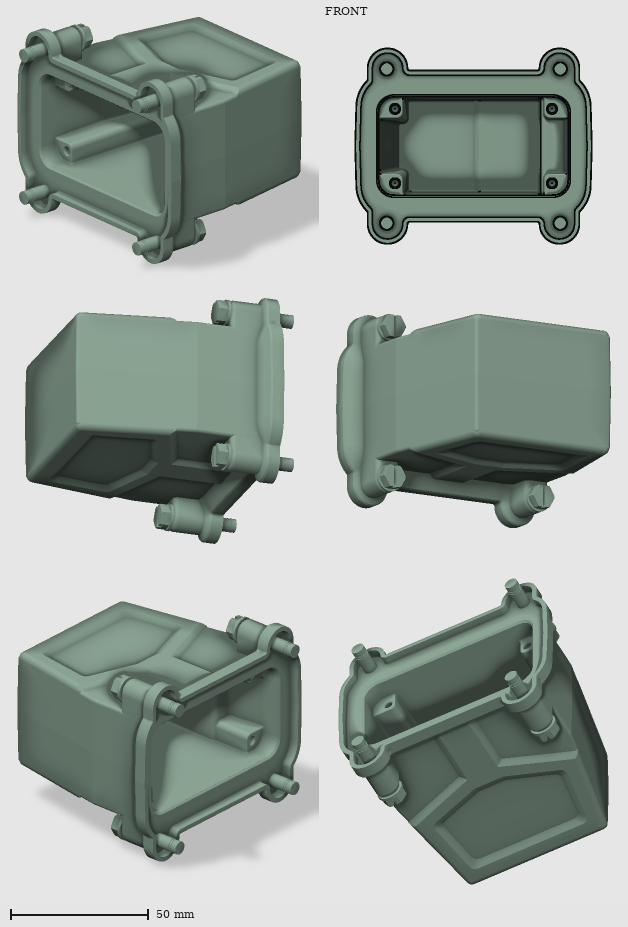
import cadquery as cq
import math


flange_half_x = 43.0
flange_shoulder_x = 42.6
flange_shoulder_z = 14.2
flange_half_z = 27.5
corner_radius = 13.3
ear_x, ear_z, ear_radius = 31.2, 28.25, 7.25
ear_root_fillet = 0.8
flange_rim = 4.4
flange_bevel_height = 0.65
flange_slope_height = 3.6
flange_slope_taper = 60.0
rim_wall = 1.75
recess_depth = 3.5
recess_fillet = 0.55

body_half_x = 36.6
body_back_y = 75.0
body_bend_y = 31.2
body_back_half_x = 28.65
body_half_z = 23.1
body_draft = 0.9
body_fillet = 2.3
panel_depth = 1.5
panel_slope_width = 2.5
base_fillet = 1.2
arm_half_x = 6.1
arm_branch_y = 30.7
arm_end_y = 40.4
arm_end_x = 32.2

pocket_back_y = 68.0
pocket_back_half_x = 23.7
pocket_side_y = 43.2
pocket_side_half_x = 27.4
pocket_front_y = 35.5
pocket_front_half_x = 5.9
pocket_corner_radius = 5.5
pocket_slope_width = 2.7

screw_x, screw_z = 31.5, 28.0
post_radius = 4.75
post_top_y = 18.0
post_fillet = 1.9
washer_radius, washer_thickness = 5.0, 1.05
head_across_flats, head_height = 8.0, 3.65
head_chamfer = 0.3
slot_width, slot_depth = 1.25, 1.5
shank_diameter = 5.0
groove_positions = (-3.8, -4.8)
groove_width, groove_depth = 0.4, 0.2
screw_tip_y = -6.9

mouth_half_x, mouth_half_z, mouth_radius = 34.5, 17.9, 5.8
mouth_chamfer = 0.7
cavity_draft = 1.2
cavity_bend_y = 29.0
cavity_floor_y = 72.0
cavity_back_y = cavity_floor_y + 1.0
cavity_floor_half_x = 27.0
floor_step_x = 2.1
floor_step = 2.0
floor_fillet = 0.35
ledge_x, ledge_y, ledge_fillet = 24.5, 25.5, 1.8
ledge_wall_x = 32.3

pillar_face_y = 11.2
pillar_inner_x, pillar_inner_z = 25.7, 10.2
pillar_radius = 2.2
pillar_width = 20.0
pillar_draft = 2.0
pillar_edge_fillet = 0.4
pillar_root_fillet = 0.8
pillar_root_length = 8.0
pillar_hole_x, pillar_hole_z = 28.5, 13.5
pillar_hole_diameter, pillar_hole_depth = 3.0, 10.0
pillar_hole_tip_depth = 0.9
pillar_hole_tip_radius = 0.01
pillar_csk_diameter = 3.8

SIDES = (-1, 1)
CORNERS = [(sx, sz) for sx in SIDES for sz in SIDES]


def section_at(y):
    """Sketch plane across the hood at height y; solids grow towards +Y with a negative length."""
    return cq.Workplane("XZ", origin=(0, y, 0))


def mirrored_z(solid):
    """The solid together with its mirror image below Z = 0."""
    return solid.union(solid.mirror("XY"))


def flange_outline(y):
    """Closed flange outline: drafted ends, corner arcs and an ear at each corner."""
    ear_edge_x = ear_x + ear_radius
    arc_center_x = flange_shoulder_x - corner_radius
    arc_angle = math.acos((ear_edge_x - arc_center_x) / corner_radius)
    arc_end_z = flange_shoulder_z + corner_radius * math.sin(arc_angle)
    arc_mid_x = arc_center_x + corner_radius * math.cos(arc_angle / 2)
    arc_mid_z = flange_shoulder_z + corner_radius * math.sin(arc_angle / 2)
    ear_foot_x = ear_x - math.sqrt(ear_radius**2 - (ear_z - flange_half_z) ** 2)
    sharp = (
        section_at(y)
        .moveTo(flange_half_x, 0)
        .lineTo(flange_shoulder_x, flange_shoulder_z)
        .threePointArc((arc_mid_x, arc_mid_z), (ear_edge_x, arc_end_z))
        .lineTo(ear_edge_x, ear_z)
        .threePointArc((ear_x, ear_z + ear_radius), (ear_foot_x, flange_half_z))
        .lineTo(0, flange_half_z)
        .mirrorY()
        .mirrorX()
        .val()
    )
    ear_roots = [
        corner for corner in sharp.Vertices()
        if 1 < abs(corner.X) < ear_edge_x + 0.1 and abs(corner.Z) < ear_z - 0.1
    ]
    return section_at(y).add(sharp.fillet2D(ear_root_fillet, ear_roots)).toPending()


def make_flange():
    """Upright rim, rounded off by a narrow bevel into the shoulder that runs up to the body."""
    rim = flange_outline(0).extrude(-flange_rim)
    bevel = flange_outline(flange_rim).extrude(-flange_bevel_height, taper=flange_slope_taper / 2)
    shoulder = (
        section_at(flange_rim + flange_bevel_height)
        .add(bevel.faces(">Y").wires().vals())
        .toPending()
        .extrude(-flange_slope_height, taper=flange_slope_taper)
    )
    return rim.union(bevel).union(shoulder)


def make_recess():
    """Shallow pocket in the flange face that leaves a rim along the outline."""
    recess = flange_outline(0).offset2D(-rim_wall).extrude(-recess_depth)
    return recess.faces(">Y").edges().fillet(recess_fillet)


def make_shell(half_z, edge_fillet):
    """Solid hood body of the given half height, with rounded outer edges."""
    upper_half = (
        cq.Workplane("XY")
        .polyline([
            (-body_half_x, recess_depth),
            (body_half_x, recess_depth),
            (body_half_x, body_bend_y),
            (body_back_half_x, body_back_y),
            (-body_back_half_x, body_back_y),
            (-body_half_x, body_bend_y),
        ])
        .close()
        .extrude(half_z, taper=body_draft)
        .edges("not <Z")
        .filter(lambda edge: edge.Center().z > 0.9 * half_z or edge.Center().y > 2 * body_bend_y)
        .fillet(edge_fillet)
    )
    return mirrored_z(upper_half)


def make_panel_cut():
    """Sloped-wall cuts on both sides of the raised centre arm, down to the parting plane."""
    outside_x = 2 * body_half_x
    v_slope = (arm_end_y - arm_branch_y) / (arm_end_x - arm_half_x)
    outside_y = arm_branch_y + v_slope * (outside_x - arm_half_x)
    taper = math.degrees(math.atan(panel_slope_width / panel_depth))
    panel = (
        cq.Workplane("XY", origin=(0, 0, body_half_z))
        .polyline([
            (arm_half_x, -body_half_x),
            (arm_half_x, arm_branch_y),
            (outside_x, outside_y),
            (outside_x, -body_half_x),
        ])
        .close()
        .extrude(-panel_depth, taper=taper)
        .faces("<Z")
        .wires()
        .toPending()
        .workplane()
        .extrude(body_half_z - panel_depth)
    )
    return panel.union(panel.mirror("YZ"))


def make_pocket_cut():
    """Hexagonal pocket with sloped walls in the upper face."""
    corners = [
        (pocket_back_half_x, pocket_back_y),
        (pocket_side_half_x, pocket_side_y),
        (pocket_front_half_x, pocket_front_y),
    ]
    outline = corners + [(-x, y) for x, y in reversed(corners)]
    taper = math.degrees(math.atan(pocket_slope_width / panel_depth))
    return (
        cq.Workplane("XY", origin=(0, 0, body_half_z))
        .polyline(outline)
        .close()
        .extrude(-panel_depth, taper=taper)
        .edges("not #Z")
        .filter(lambda edge: abs(edge.Center().x) > pocket_side_half_x / 2)
        .fillet(pocket_corner_radius)
    )


def make_body():
    """Raised, Y-shaped areas on top of a slightly lower base body."""
    cuts = mirrored_z(make_panel_cut().union(make_pocket_cut()))
    raised = make_shell(body_half_z, body_fillet).cut(cuts)
    return raised.union(make_shell(body_half_z - panel_depth, base_fillet))


def make_post(sx, sz):
    """Round-topped screw post, joined to the body by a web."""
    web_foot_z = body_half_z / 2
    web_length = ear_z - web_foot_z
    web = (
        section_at(0)
        .center(sx * screw_x, sz * (web_foot_z + web_length / 2))
        .rect(2 * post_radius, web_length)
        .extrude(-post_top_y)
    )
    column = section_at(0).center(sx * screw_x, sz * ear_z).circle(post_radius).extrude(-post_top_y)
    post = web.union(column)
    rim_edges = post.faces(">Y").edges().filter(lambda edge: abs(edge.Center().z) > web_foot_z + 0.1)
    return rim_edges.fillet(post_fillet)


def make_screw(sx, sz):
    """Slotted hexagon screw with washer; the shank passes through the flange."""
    def at(y):
        return section_at(y).center(sx * screw_x, sz * screw_z)

    head_y = post_top_y + washer_thickness
    head_top_y = head_y + head_height
    across_corners = head_across_flats / math.cos(math.pi / 6)
    washer = at(post_top_y).circle(washer_radius).extrude(-washer_thickness)
    head_envelope = (
        at(head_y).circle(across_corners / 2).extrude(-head_height).faces(">Y").chamfer(head_chamfer)
    )
    head = at(head_y).polygon(6, across_corners).extrude(-head_height).intersect(head_envelope)
    slot = at(head_top_y).rect(slot_width, 2 * head_across_flats).extrude(slot_depth)
    shank = at(screw_tip_y).circle(shank_diameter / 2).extrude(screw_tip_y - head_y)
    for groove_y in groove_positions:
        ring = at(groove_y).circle(shank_diameter).circle(shank_diameter / 2 - groove_depth)
        shank = shank.cut(ring.extrude(-groove_width))
    return washer.union(head.cut(slot)).union(shank)


def make_pillar(sx, sz):
    """Corner pillar for a contact insert; it reaches past the cavity walls."""
    length = cavity_back_y - pillar_face_y
    back_width = pillar_width + 2 * length * math.tan(math.radians(pillar_draft))
    center_x = sx * (pillar_inner_x + pillar_width / 2)
    center_z = sz * (pillar_inner_z + pillar_width / 2)
    return (
        section_at(cavity_back_y)
        .center(center_x, center_z)
        .rect(back_width, back_width)
        .extrude(length, taper=pillar_draft)
        .edges("not #Y")
        .fillet(pillar_radius)
        .faces("<Y")
        .edges()
        .fillet(pillar_edge_fillet)
    )


def make_pillar_hole(sx, sz):
    """Countersunk screw hole with a conical end in a pillar face."""
    face = section_at(pillar_face_y).center(sx * pillar_hole_x, sz * pillar_hole_z)
    hole = face.circle(pillar_hole_diameter / 2).extrude(-pillar_hole_depth)
    csk_depth = (pillar_csk_diameter - pillar_hole_diameter) / 2
    tip = (
        section_at(pillar_face_y + pillar_hole_depth)
        .center(sx * pillar_hole_x, sz * pillar_hole_z)
        .circle(pillar_hole_diameter / 2)
        .workplane(offset=-pillar_hole_tip_depth)
        .circle(pillar_hole_tip_radius)
        .loft()
    )
    return hole.union(tip).union(face.circle(pillar_csk_diameter / 2).extrude(-csk_depth, taper=45))


def make_floor_profile():
    """Cavity shape across the parting plane, as a prism along Z."""
    step_start_x = floor_step_x - floor_step
    points = [
        (-mouth_half_x, 0),
        (mouth_half_x, 0),
        (mouth_half_x, cavity_bend_y),
        (cavity_floor_half_x, cavity_floor_y - floor_step),
        (floor_step_x, cavity_floor_y - floor_step),
        (step_start_x, cavity_floor_y),
        (-cavity_floor_half_x, cavity_floor_y),
        (-mouth_half_x, cavity_bend_y),
    ]
    return cq.Workplane("XY").polyline(points).close().extrude(body_half_z, both=True)


def make_ledge():
    """Thickened +X wall inside the cavity, ending in a rounded ledge."""
    outside_x = mouth_half_x + 1
    return (
        cq.Workplane("XY")
        .polyline([
            (mouth_half_x, pillar_face_y),
            (ledge_wall_x, ledge_y),
            (ledge_x, ledge_y),
            (ledge_x, cavity_back_y),
            (outside_x, cavity_back_y),
            (outside_x, pillar_face_y),
        ])
        .close()
        .extrude(body_half_z, both=True)
        .edges(cq.selectors.BoxSelector(
            (ledge_x - 0.1, ledge_y - 0.1, -1), (ledge_wall_x + 0.1, ledge_y + 0.1, 1)
        ))
        .fillet(ledge_fillet)
    )


def rounded_rectangle(half_x, half_z, radius):
    """Sketch of a rectangle with rounded corners."""
    return cq.Sketch().rect(2 * half_x, 2 * half_z).vertices().fillet(radius)


def make_cavity():
    """Drafted cavity, open at the flange recess, without the material of ledge and pillars."""
    cavity = (
        section_at(recess_depth)
        .placeSketch(rounded_rectangle(mouth_half_x, mouth_half_z, mouth_radius))
        .extrude(recess_depth - cavity_back_y, taper=cavity_draft)
    )
    cavity = cavity.intersect(make_floor_profile()).cut(make_ledge())
    for sx, sz in CORNERS:
        cavity = cavity.cut(make_pillar(sx, sz))
    long_edges = cavity.edges().filter(
        lambda edge: edge.Center().y > pillar_face_y + 1 and edge.Length() > pillar_root_length
    )
    wall_roots = long_edges.filter(
        lambda edge: abs(edge.Center().x) > pillar_hole_x and abs(edge.Center().z) < pillar_hole_z
    )
    cover_roots = long_edges.filter(
        lambda edge: pillar_inner_z < abs(edge.Center().x) < pillar_hole_x
        and abs(edge.Center().z) > pillar_hole_z
    )
    root_edges = wall_roots.vals() + cover_roots.vals()
    cavity = cavity.newObject([cavity.val().fillet(pillar_root_fillet, root_edges)])
    floor_faces = cavity.faces("+Y").filter(lambda face: face.Center().y > cavity_floor_y - floor_step - 1)
    cavity = floor_faces.edges().fillet(floor_fillet)
    mouth_flare = (
        section_at(recess_depth)
        .placeSketch(rounded_rectangle(
            mouth_half_x + mouth_chamfer, mouth_half_z + mouth_chamfer, mouth_radius + mouth_chamfer
        ))
        .extrude(-mouth_chamfer, taper=45)
    )
    return cavity.union(mouth_flare)


housing = make_flange().union(make_body())
for sx, sz in CORNERS:
    housing = housing.union(make_post(sx, sz))
housing = housing.cut(make_recess()).cut(make_cavity())
for sx, sz in CORNERS:
    housing = housing.cut(make_pillar_hole(sx, sz)).union(make_screw(sx, sz))

result = housing